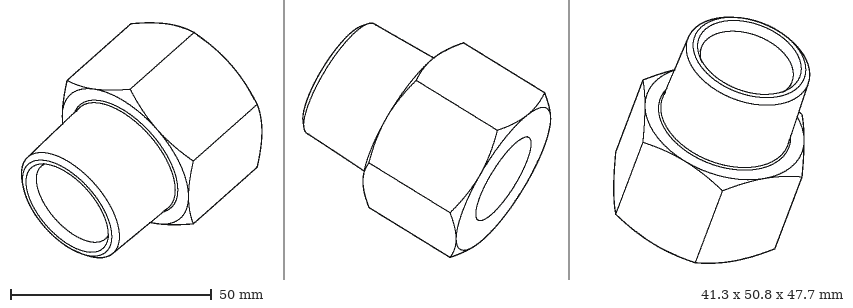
import cadquery as cq
import math

total_length = 50.8
across_flats = 41.3
hex_length = 28.35
hex_chamfer_angle = 30.0

collar_length = 0.45

spigot_tip_diameter = 32.1
taper_ratio = 1 / 16
tip_chamfer_length = 1.25
tip_face_diameter = 29.25

bore_diameter = 24.2
mouth_diameter = 26.9
mouth_half_angle = 30.0

across_corners = across_flats / math.cos(math.radians(30))
spigot_length = total_length - hex_length
taper_length = spigot_length - collar_length - tip_chamfer_length
spigot_tip_radius = spigot_tip_diameter / 2
spigot_root_radius = spigot_tip_radius + taper_length * taper_ratio / 2
collar_radius = spigot_root_radius + collar_length
mouth_depth = (mouth_diameter - bore_diameter) / 2 / math.tan(math.radians(mouth_half_angle))


def revolve_profile(points):
    """Revolve a closed (radius, y) outline around the Y axis."""
    return cq.Workplane("XY").polyline(points).close().revolve(360, (0, 0, 0), (0, 1, 0))


def make_hexagon():
    """Hexagon from y = 0 to hex_length, corners up and down, both ends chamfered."""
    prism = (
        cq.Workplane("XZ")
        .polygon(6, across_corners)
        .extrude(-hex_length)
        .rotate((0, 0, 0), (0, 1, 0), 30)
    )
    flat_radius = across_flats / 2
    envelope_radius = across_corners / 2 + 0.5
    chamfer_depth = (envelope_radius - flat_radius) * math.tan(math.radians(hex_chamfer_angle))
    envelope = revolve_profile([
        (0, 0),
        (flat_radius, 0),
        (envelope_radius, chamfer_depth),
        (envelope_radius, hex_length - chamfer_depth),
        (flat_radius, hex_length),
        (0, hex_length),
    ])
    return prism.intersect(envelope)


def make_spigot():
    """Collar, tapered body and chamfered tip."""
    return revolve_profile([
        (0, 0),
        (collar_radius, 0),
        (spigot_root_radius, -collar_length),
        (spigot_tip_radius, -collar_length - taper_length),
        (tip_face_diameter / 2, -spigot_length),
        (0, -spigot_length),
    ])


def make_bore():
    """Through bore with a conical mouth at the spigot tip."""
    bore_radius = bore_diameter / 2
    return revolve_profile([
        (0, -spigot_length),
        (mouth_diameter / 2, -spigot_length),
        (bore_radius, -spigot_length + mouth_depth),
        (bore_radius, hex_length),
        (0, hex_length),
    ])


result = make_hexagon().union(make_spigot()).cut(make_bore())